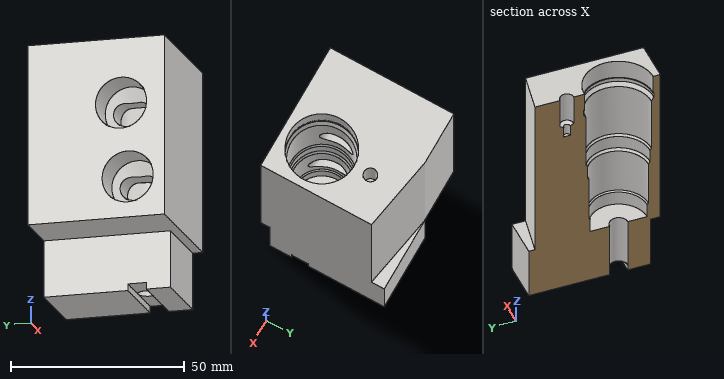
import cadquery as cq
import math

size_x = 41.0
size_y = 41.0
total_height = 70.9
foot_height = 16.95
block_height = total_height - foot_height

foot_start_x = 17.0
foot_start_y = 3.0

relief_start_x = 17.0
relief_angle = 10.0

bore_x = 28.0
bore_y = 13.0
mouth_diameter = 21.3
mouth_depth = 6.3
groove_diameter = 21.85
groove_end_depth = 7.8
shoulder_slope = 60.0
seat_slope = 45.0
bore_steps = [
    (groove_diameter, groove_end_depth, shoulder_slope),
    (20.3, 26.95, shoulder_slope),
    (19.4, 31.9, shoulder_slope),
    (18.4, 47.5, seat_slope),
]
chamber_diameter = 17.6
chamber_depth = 52.5
outlet_diameter = 5.5

notch_width = outlet_diameter
notch_depth = 2.0

port_diameter = 15.3
port_depth = 10.35
drill_point_angle = 118.0
port_slot_length = 11.05
port_slot_height = 6.95
port_centers = [(bore_y, 51.5), (11.0, 29.15)]

pin_y = 29.1
pin_diameter = 4.2
pin_depth = 9.9
pin_tip_diameter = 2.0
pin_tip_length = 3.55


def drill_point_length(radius_change):
    """Axial length of a drill point cone over the given change of radius."""
    return radius_change / math.tan(math.radians(drill_point_angle / 2))


def turned_from_top(x, y, wall_points):
    """Solid of revolution about a vertical axis, from (radius, depth) points below the top face."""
    floor_depth = wall_points[-1][1]
    outline = [(0, 0)] + [(radius, -depth) for radius, depth in wall_points] + [(0, -floor_depth)]
    return (
        cq.Workplane("XZ")
        .polyline(outline)
        .close()
        .revolve(360, (0, 0, 0), (0, 1, 0))
        .translate((x, y, total_height))
    )


def make_block():
    block = cq.Workplane("XY").box(size_x, size_y, block_height, centered=False)
    relief_width = (size_x - relief_start_x) * math.tan(math.radians(relief_angle))
    relief = (
        cq.Workplane("XY")
        .moveTo(relief_start_x, size_y)
        .lineTo(size_x, size_y - relief_width)
        .lineTo(size_x, size_y)
        .close()
        .extrude(block_height)
    )
    return block.cut(relief).translate((0, 0, foot_height))


def make_foot():
    foot = (
        cq.Workplane("XY")
        .box(size_x - foot_start_x, size_y - foot_start_y, foot_height, centered=False)
        .translate((foot_start_x, foot_start_y, 0))
    )
    notch = (
        cq.Workplane("XY")
        .box(size_x, notch_width, notch_depth, centered=False)
        .translate((0, bore_y - notch_width / 2, 0))
    )
    return foot.cut(notch)


def make_bore():
    wall = [(mouth_diameter / 2, 0), (mouth_diameter / 2, mouth_depth), (groove_diameter / 2, mouth_depth)]
    next_diameters = [diameter for diameter, _, _ in bore_steps[1:]] + [chamber_diameter]
    for (diameter, end_depth, slope), next_diameter in zip(bore_steps, next_diameters):
        cone_length = (diameter - next_diameter) / 2 * math.tan(math.radians(slope))
        wall.append((diameter / 2, end_depth))
        wall.append((next_diameter / 2, end_depth + cone_length))
    wall.append((chamber_diameter / 2, chamber_depth))
    return turned_from_top(bore_x, bore_y, wall)


def make_outlet():
    return cq.Workplane("XY", origin=(bore_x, bore_y, 0)).circle(outlet_diameter / 2).extrude(total_height)


def make_pin_hole():
    pin_radius = pin_diameter / 2
    tip_radius = pin_tip_diameter / 2
    tip_start_depth = pin_depth + drill_point_length(pin_radius - tip_radius)
    wall = [
        (pin_radius, 0),
        (pin_radius, pin_depth),
        (tip_radius, tip_start_depth),
        (tip_radius, tip_start_depth + pin_tip_length),
    ]
    return turned_from_top(bore_x, pin_y, wall)


def make_port(y, z):
    port_radius = port_diameter / 2
    drilling = (
        cq.Workplane("XZ", origin=(0, y, z))
        .lineTo(0, -port_radius)
        .lineTo(port_depth, -port_radius)
        .lineTo(port_depth + drill_point_length(port_radius), 0)
        .close()
        .revolve(360, (0, 0, 0), (1, 0, 0))
    )
    slot = (
        cq.Workplane("YZ", origin=(0, y, z))
        .slot2D(port_slot_length, port_slot_height)
        .extrude(bore_x)
    )
    return drilling.union(slot)


result = make_block().union(make_foot())
result = result.cut(make_bore()).cut(make_outlet()).cut(make_pin_hole())
for port_y, port_z in port_centers:
    result = result.cut(make_port(port_y, port_z))